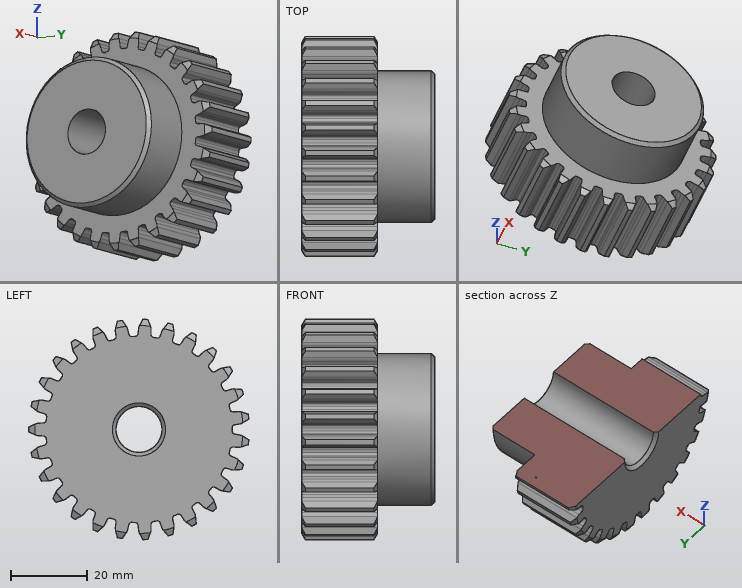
import cadquery as cq
import math

overall_size = 57.95
tooth_count = 27
addendum_factor = 1.0
dedendum_factor = 1.25

tip_thickness = 1.35
shoulder_thickness = 2.9
waist_thickness = 3.35
foot_thickness = 3.5
waist_distance = 26.2
root_fillet = 0.75

gear_width = 20.0
hub_length = 15.0
hub_diameter = 40.0
bore_diameter = 12.0
edge_chamfer = 1.0
tooth_chamfer_angle = math.radians(60)

tooth_pitch = 2 * math.pi / tooth_count

lean = tooth_pitch / 4
tip_corner_distance = (overall_size - tip_thickness * math.sin(lean)) / (2 * math.cos(lean))
tip_radius = math.hypot(tip_corner_distance, tip_thickness / 2)
module = 2 * tip_radius / (tooth_count + 2 * addendum_factor)
pitch_radius = module * tooth_count / 2
root_radius = pitch_radius - dedendum_factor * module

shoulder_radius = tip_radius - edge_chamfer * math.tan(tooth_chamfer_angle)


def polar(radius, angle):
    return radius * math.cos(angle), radius * math.sin(angle)


def shift(point, radius, angle):
    dx, dy = polar(radius, angle)
    return point[0] + dx, point[1] + dy


tip_corner = (tip_corner_distance, tip_thickness / 2)
shoulder_point = polar(shoulder_radius, math.asin(shoulder_thickness / 2 / shoulder_radius))
waist_point = (waist_distance, waist_thickness / 2)

foot_y = foot_thickness / 2
fillet_centre_radius = root_radius + root_fillet
fillet_centre_angle = math.asin((foot_y + root_fillet) / fillet_centre_radius)
fillet_centre = polar(fillet_centre_radius, fillet_centre_angle)
foot_point = (fillet_centre[0], foot_y)
root_point = polar(root_radius, fillet_centre_angle)
fillet_middle_angle = (-math.pi / 2 + fillet_centre_angle - math.pi) / 2
fillet_middle = shift(fillet_centre, root_fillet, fillet_middle_angle)

flank_run = shoulder_point[0] - waist_point[0]
flank_drop = waist_point[1] - shoulder_point[1]
flank_radius = (flank_run**2 + flank_drop**2) / (2 * flank_drop)
flank_centre = (waist_point[0], waist_point[1] - flank_radius)
flank_sweep = math.asin(flank_run / flank_radius)
flank_middle = shift(flank_centre, flank_radius, math.pi / 2 - flank_sweep / 2)


def turn(point, angle):
    x, y = point
    return (
        x * math.cos(angle) - y * math.sin(angle),
        x * math.sin(angle) + y * math.cos(angle),
    )


def mirror(point):
    return point[0], -point[1]


def gear_outline():
    """Closed tooth outline on the YZ plane."""
    root_middle = polar(root_radius, tooth_pitch / 2)
    next_root_point = turn(mirror(root_point), tooth_pitch)
    outline = cq.Workplane("YZ").moveTo(*mirror(root_point))
    for tooth in range(tooth_count):
        angle = tooth * tooth_pitch

        def place(point):
            return turn(point, angle)

        outline = outline.threePointArc(place(mirror(fillet_middle)), place(mirror(foot_point)))
        outline = outline.lineTo(*place(mirror(waist_point)))
        outline = outline.threePointArc(place(mirror(flank_middle)), place(mirror(shoulder_point)))
        outline = outline.lineTo(*place(mirror(tip_corner)))
        outline = outline.threePointArc(place((tip_radius, 0)), place(tip_corner))
        outline = outline.lineTo(*place(shoulder_point))
        outline = outline.threePointArc(place(flank_middle), place(waist_point))
        outline = outline.lineTo(*place(foot_point))
        outline = outline.threePointArc(place(fillet_middle), place(root_point))
        outline = outline.threePointArc(place(root_middle), place(next_root_point))
    return outline.close()


def toothed_wheel():
    """Gear rim with the tooth ends trimmed by a cone on both faces."""
    envelope = (
        cq.Workplane("XY")
        .polyline([
            (0, 0),
            (0, shoulder_radius),
            (edge_chamfer, tip_radius),
            (gear_width - edge_chamfer, tip_radius),
            (gear_width, shoulder_radius),
            (gear_width, 0),
        ])
        .close()
        .revolve(360, (0, 0, 0), (1, 0, 0))
    )
    return gear_outline().extrude(gear_width).intersect(envelope)


def hub():
    """Plain hub with a chamfered free end."""
    body = cq.Workplane("YZ", origin=(gear_width, 0, 0)).circle(hub_diameter / 2).extrude(hub_length)
    return body.faces(">X").edges().chamfer(edge_chamfer)


def bore():
    """Through bore with a countersunk mouth on the gear face."""
    bore_radius = bore_diameter / 2
    total_length = gear_width + hub_length
    return (
        cq.Workplane("XY")
        .polyline([
            (0, 0),
            (0, bore_radius + edge_chamfer),
            (edge_chamfer, bore_radius),
            (total_length, bore_radius),
            (total_length, 0),
        ])
        .close()
        .revolve(360, (0, 0, 0), (1, 0, 0))
    )


result = toothed_wheel().union(hub()).cut(bore())